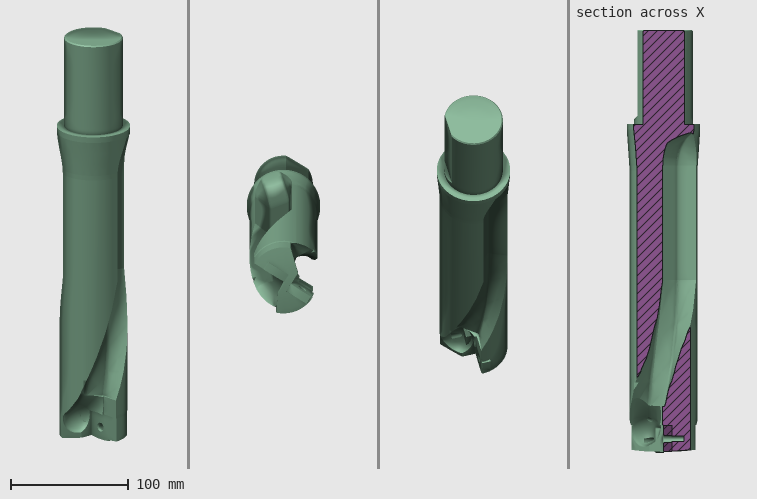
import cadquery as cq
import math

OVERALL_LENGTH = 359.98

SHANK_DIAMETER = 49.99
SHANK_LENGTH = 80.0
SHANK_CHAMFER = 1.0
FLAT_Y = 22.3
FLAT_END_HEIGHT = 6.5

FLANGE_DIAMETER = 62.5
FLANGE_THICKNESS = 5.0
BODY_DIAMETER = 58.0
RELIEF_DIAMETER = 57.4
TAPER_END_Z = -35.4
BODY_START_Z = -39.6
STEP_TOP_Z = -253.7
STEP_BOTTOM_Z = -256.8
TIP_RIM_Z = -277.2
TIP_CENTRE_Z = -279.0
TIP_Z = SHANK_LENGTH - OVERALL_LENGTH

FLUTE_ANGLE = 217.0
FLUTE_FLOOR_RADIUS = 8.9
FLUTE_FLOOR_WIDTH = 16.8
FLUTE_WALL_ANGLE = 30.0
FLUTE_DEPTH = 29.0
FLUTE_FILLET = 2.5
RUNOUT_RADIUS = 30.0
TWIST_START_Z = -133.0
TWIST_END_Z = -240.0
TWIST_RATE = 0.41
TWIST_GAIN = 0.0027
GUIDE_RADIUS = 40.0

SCOOP_RADIUS = 15.0
SCOOP_CENTRE = (2.0, -17.0, -260.0)
SCOOP_DIRECTION = (1.0, 0.0, 1.0)
SCOOP_LENGTH = 50.0
GULLET_TOP_Z = -220.0
GULLET_FACE_OFFSET = 1.2
GULLET_INNER_X = 14.3
SEAT_TOP_Z = -256.2
SEAT_WALL_DEPTH = 12.0
LIP_X = -9.5
LIP_Y = -27.0
CLEAR = 80.0

INSERT_SIZE = 21.8
INSERT_EDGE_BULGE = 0.8
INSERT_THICKNESS = 7.3
INSERT_FACE_OFFSET = 0.5
INSERT_HOLE_DIAMETER = 5.7
INSERT_SINK_DIAMETER = 7.7
SCREW_HOLE_DIAMETER = 4.7
SCREW_HOLE_DEPTH = 10.0
INNER_INSERT_X = 9.2
INNER_INSERT_Z = TIP_Z + INSERT_SIZE / 2
OUTER_INSERT_X = 18.6
OUTER_INSERT_Z = INNER_INSERT_Z + 1.3
OUTER_INSERT_TILT = 8.0
INNER_WALL_X = -1.9
OUTER_WALL_X = 7.0

COOLANT_DIAMETER = 4.0
COOLANT_LENGTH = 6.0
COOLANT_DIRECTION = (-0.5, 0.87, 0.0)
INNER_COOLANT_START = (-2.4, -10.7, -264.6)
OUTER_COOLANT_START = (-8.0, -13.2, -251.5)


def half_turn(shape):
    return shape.rotate((0, 0, 0), (0, 0, 1), 180)


def make_blank():
    shank_r = SHANK_DIAMETER / 2
    flange_r = FLANGE_DIAMETER / 2
    body_r = BODY_DIAMETER / 2
    blend_middle_z = (TAPER_END_Z + BODY_START_Z) / 2
    slope = (flange_r - body_r) / (-FLANGE_THICKNESS - blend_middle_z)
    taper_end_r = body_r + slope * (TAPER_END_Z - blend_middle_z)
    blend_middle_r = body_r + (taper_end_r - body_r) / 4
    dome_height = TIP_CENTRE_Z - TIP_RIM_Z
    return (
        cq.Workplane("YZ")
        .moveTo(0, SHANK_LENGTH)
        .lineTo(shank_r - SHANK_CHAMFER, SHANK_LENGTH)
        .lineTo(shank_r, SHANK_LENGTH - SHANK_CHAMFER)
        .lineTo(shank_r, 0)
        .lineTo(flange_r, 0)
        .lineTo(flange_r, -FLANGE_THICKNESS)
        .lineTo(taper_end_r, TAPER_END_Z)
        .threePointArc((blend_middle_r, blend_middle_z), (body_r, BODY_START_Z))
        .lineTo(body_r, TIP_RIM_Z)
        .threePointArc((body_r / 2, TIP_CENTRE_Z - dome_height / 4), (0, TIP_CENTRE_Z))
        .close()
        .revolve(360, (0, 0, 0), (0, 1, 0))
    )


def make_shank_flat():
    """Clamping flat on the +Y side, ending in a 45 degree slope above the flange."""
    rise = SHANK_DIAMETER / 2 - FLAT_Y
    return (
        cq.Workplane("YZ")
        .moveTo(FLAT_Y, SHANK_LENGTH)
        .lineTo(FLAT_Y, FLAT_END_HEIGHT)
        .lineTo(FLAT_Y + 2 * rise, FLAT_END_HEIGHT - 2 * rise)
        .lineTo(FLAT_Y + 2 * rise, SHANK_LENGTH)
        .close()
        .extrude(SHANK_DIAMETER / 2, both=True)
    )


def make_tip_relief():
    """Ring that slims one land of the tip over half a turn, below a conical step."""
    relief_r = RELIEF_DIAMETER / 2
    body_r = BODY_DIAMETER / 2
    return (
        cq.Workplane("XZ")
        .moveTo(body_r, STEP_TOP_Z)
        .lineTo(relief_r, STEP_BOTTOM_Z)
        .lineTo(relief_r, TIP_Z)
        .lineTo(FLANGE_DIAMETER / 2, TIP_Z)
        .lineTo(FLANGE_DIAMETER / 2, STEP_TOP_Z)
        .close()
        .revolve(180, (0, 0, 0), (0, 1, 0))
    )


def flute_section(height):
    """Trapezoid across the flute, floor towards the axis, its middle line along +X."""
    floor = FLUTE_FLOOR_RADIUS
    mouth = floor + FLUTE_DEPTH
    floor_half = FLUTE_FLOOR_WIDTH / 2
    wall_angle = math.radians(FLUTE_WALL_ANGLE)
    mouth_half = floor_half + FLUTE_DEPTH * math.tan(wall_angle)
    tangent = FLUTE_FILLET * math.tan((math.pi / 2 - wall_angle) / 2)
    wall_run = tangent * math.cos(wall_angle)
    wall_rise = tangent * math.sin(wall_angle)
    start_x = floor + wall_run
    start_y = floor_half + wall_rise
    return (
        cq.Workplane("XY", origin=(0, 0, height))
        .moveTo(mouth, -mouth_half)
        .lineTo(mouth, mouth_half)
        .lineTo(start_x, start_y)
        .radiusArc((floor, floor_half - tangent), -FLUTE_FILLET)
        .lineTo(floor, -floor_half + tangent)
        .radiusArc((start_x, -start_y), -FLUTE_FILLET)
        .close()
    )


def guide_point(depth):
    angle = math.radians(-(TWIST_RATE + TWIST_GAIN * depth) * depth)
    return (GUIDE_RADIUS * math.cos(angle), GUIDE_RADIUS * math.sin(angle), TWIST_START_Z - depth)


def make_flute():
    straight = flute_section(TAPER_END_Z).extrude(TWIST_START_Z - TAPER_END_Z)

    pivot_x = FLUTE_FLOOR_RADIUS + RUNOUT_RADIUS
    runout = flute_section(TAPER_END_Z).revolve(90, (pivot_x, 0, 0), (pivot_x, 1, 0))

    twist_length = TWIST_START_Z - TWIST_END_Z
    axis = cq.Workplane("XZ").moveTo(0, TWIST_START_Z).lineTo(0, TWIST_END_Z)
    guide = cq.Workplane("XY").parametricCurve(lambda t: guide_point(t * twist_length))
    twisted = flute_section(TWIST_START_Z).sweep(axis, auxSpine=guide)
    return [part.rotate((0, 0, 0), (0, 0, 1), FLUTE_ANGLE) for part in (runout, straight, twisted)]


def make_scoop():
    """Ball-ended channel that widens the +X, -Y flute above its insert."""
    channel = cq.Solid.makeCylinder(
        SCOOP_RADIUS, SCOOP_LENGTH, cq.Vector(*SCOOP_CENTRE), cq.Vector(*SCOOP_DIRECTION)
    )
    ball = cq.Workplane("XY", origin=SCOOP_CENTRE).sphere(SCOOP_RADIUS)
    return ball.union(cq.Workplane(channel))


def make_coolant_outlet(start):
    hole = cq.Solid.makeCylinder(
        COOLANT_DIAMETER / 2, COOLANT_LENGTH, cq.Vector(*start), cq.Vector(*COOLANT_DIRECTION)
    )
    return cq.Workplane(hole)


def make_gullet():
    """Flat-backed clearance between the end of the twist and the insert seat."""
    return cq.Workplane("XY").box(CLEAR, CLEAR, GULLET_TOP_Z - SEAT_TOP_Z, centered=False).translate(
        (GULLET_INNER_X, -GULLET_FACE_OFFSET - CLEAR, SEAT_TOP_Z)
    )


def make_seat_clearance(wall_x):
    """Space in front of an insert: a wall beside the insert, then a slope out to the flute lip."""
    slope_run = LIP_X - wall_x
    slope_drop = LIP_Y + SEAT_WALL_DEPTH
    return (
        cq.Workplane("XY", origin=(0, 0, SEAT_TOP_Z))
        .moveTo(wall_x, -INSERT_FACE_OFFSET)
        .lineTo(wall_x, -SEAT_WALL_DEPTH)
        .lineTo(wall_x + 2 * slope_run, -SEAT_WALL_DEPTH + 2 * slope_drop)
        .lineTo(CLEAR, -SEAT_WALL_DEPTH + 2 * slope_drop)
        .lineTo(CLEAR, -INSERT_FACE_OFFSET)
        .close()
        .extrude(-CLEAR)
    )


def insert_outline(x, z):
    """Upper three bulging edges of the square insert, from lower right to lower left."""
    bulge_half = INSERT_SIZE / 2
    corner = bulge_half - INSERT_EDGE_BULGE
    return (
        cq.Workplane("XZ", origin=(x, -INSERT_FACE_OFFSET, z))
        .moveTo(corner, -corner)
        .threePointArc((bulge_half, 0), (corner, corner))
        .threePointArc((0, bulge_half), (-corner, corner))
        .threePointArc((-bulge_half, 0), (-corner, -corner))
    )


def insert_block(x, z):
    """Square plate with bulging edges, its cutting face towards -Y."""
    bulge_half = INSERT_SIZE / 2
    corner = bulge_half - INSERT_EDGE_BULGE
    outline = insert_outline(x, z).threePointArc((0, -bulge_half), (corner, -corner)).close()
    return outline.extrude(-INSERT_THICKNESS)


def seat_pocket(x, z):
    """Recess that holds an insert, open through the end face of the drill."""
    corner = INSERT_SIZE / 2 - INSERT_EDGE_BULGE
    outline = insert_outline(x, z).lineTo(-corner, -INSERT_SIZE).lineTo(corner, -INSERT_SIZE).close()
    return outline.extrude(-INSERT_THICKNESS)


def make_insert(x, z):
    return (
        insert_block(x, z)
        .faces("<Y")
        .workplane(origin=(x, -INSERT_FACE_OFFSET, z))
        .cskHole(INSERT_HOLE_DIAMETER, INSERT_SINK_DIAMETER, 90)
    )


def make_screw_hole(x, z):
    seat_y = INSERT_THICKNESS - INSERT_FACE_OFFSET
    return (
        cq.Workplane("XZ", origin=(x, seat_y, z))
        .circle(SCREW_HOLE_DIAMETER / 2)
        .extrude(-SCREW_HOLE_DEPTH)
    )


def place_outer(shape):
    """Tilt a shape about the middle of the outer insert and turn it to the -X side."""
    centre = (OUTER_INSERT_X, 0, OUTER_INSERT_Z)
    axis_end = (OUTER_INSERT_X, 1, OUTER_INSERT_Z)
    return half_turn(shape.rotate(centre, axis_end, OUTER_INSERT_TILT))


def make_drill_body():
    body = make_blank().cut(make_shank_flat()).cut(make_tip_relief())
    body = body.cut(make_seat_clearance(INNER_WALL_X))
    body = body.cut(half_turn(make_seat_clearance(OUTER_WALL_X)))
    body = body.cut(seat_pocket(INNER_INSERT_X, INNER_INSERT_Z))
    body = body.cut(place_outer(seat_pocket(OUTER_INSERT_X, OUTER_INSERT_Z)))

    for part in [make_gullet(), make_scoop()] + make_flute():
        body = body.cut(part).cut(half_turn(part))

    body = body.cut(make_coolant_outlet(INNER_COOLANT_START))
    body = body.cut(half_turn(make_coolant_outlet(OUTER_COOLANT_START)))
    body = body.cut(make_screw_hole(INNER_INSERT_X, INNER_INSERT_Z))
    return body.cut(place_outer(make_screw_hole(OUTER_INSERT_X, OUTER_INSERT_Z)))


drill_body = make_drill_body()
inner_insert = make_insert(INNER_INSERT_X, INNER_INSERT_Z)
outer_insert = place_outer(make_insert(OUTER_INSERT_X, OUTER_INSERT_Z))

result = cq.Compound.makeCompound([*drill_body.solids().vals(), inner_insert.val(), outer_insert.val()])